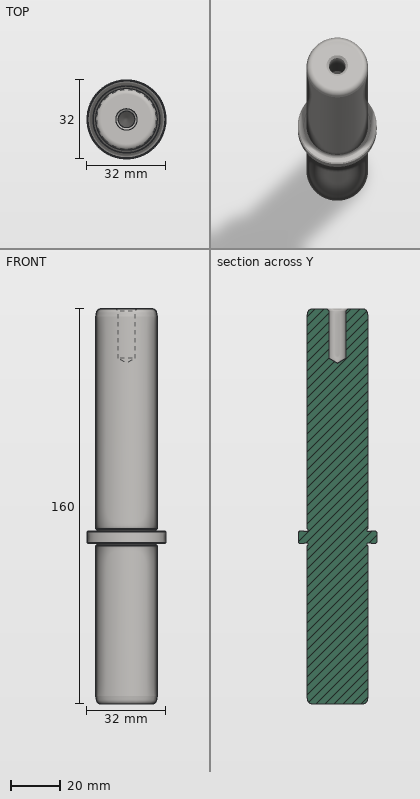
import cadquery as cq
import math

LENGTH = 160.0
SHAFT_RADIUS = 12.5
COLLAR_RADIUS = 16.0
COLLAR_BOTTOM = 65.0
COLLAR_TOP = 70.0
COLLAR_CHAMFER = 0.5

END_RADIUS = 2.0
TAPER_START = 3.2
TAPER_ANGLE = math.radians(10)

RELIEF_HEIGHT = 1.0
RELIEF_SHAFT_DEPTH = 0.5
RELIEF_FACE_DEPTH = 0.2
RELIEF_OUTER_RADIUS = 13.6

HOLE_RADIUS = 3.4
HOLE_DEPTH = 20.0
HOLE_CHAMFER = 1.0
DRILL_TIP_ANGLE = math.radians(118)


def shaft_end(end_z, inward):
    """Half profile of one rounded end; inward is the Z direction from the end face into the shaft."""
    arc_height = END_RADIUS * (1 - math.sin(TAPER_ANGLE))
    arc_outer = SHAFT_RADIUS - (TAPER_START - arc_height) * math.tan(TAPER_ANGLE)
    arc_center = arc_outer - END_RADIUS * math.cos(TAPER_ANGLE)
    mid_angle = (math.pi / 2 + TAPER_ANGLE) / 2
    arc_middle = (
        arc_center + END_RADIUS * math.cos(mid_angle),
        end_z + inward * END_RADIUS * (1 - math.sin(mid_angle)),
    )
    return (
        cq.Workplane("XZ")
        .moveTo(0, end_z)
        .lineTo(arc_center, end_z)
        .threePointArc(arc_middle, (arc_outer, end_z + inward * arc_height))
        .lineTo(SHAFT_RADIUS, end_z + inward * TAPER_START)
        .lineTo(0, end_z + inward * TAPER_START)
        .close()
        .revolve(360, (0, 0), (0, 1))
    )


def make_shaft():
    """Plain cylinder between the two rounded ends."""
    middle = (
        cq.Workplane("XY")
        .workplane(offset=TAPER_START)
        .circle(SHAFT_RADIUS)
        .extrude(LENGTH - 2 * TAPER_START)
    )
    return middle.union(shaft_end(0, 1)).union(shaft_end(LENGTH, -1))


def make_collar():
    """Disc around the shaft with chamfered rims."""
    return (
        cq.Workplane("XY")
        .workplane(offset=COLLAR_BOTTOM)
        .circle(COLLAR_RADIUS)
        .extrude(COLLAR_TOP - COLLAR_BOTTOM)
        .edges()
        .chamfer(COLLAR_CHAMFER)
    )


def relief_cutter(face_z, outward):
    """Ring that undercuts the corner at one collar face; outward is the Z direction off that face."""
    root_radius = SHAFT_RADIUS - RELIEF_SHAFT_DEPTH
    floor_z = face_z - outward * RELIEF_FACE_DEPTH
    return (
        cq.Workplane("XZ")
        .moveTo(SHAFT_RADIUS, face_z + outward * RELIEF_HEIGHT)
        .lineTo(root_radius, face_z + outward * (RELIEF_HEIGHT - RELIEF_SHAFT_DEPTH))
        .lineTo(root_radius, floor_z)
        .lineTo(RELIEF_OUTER_RADIUS - RELIEF_FACE_DEPTH, floor_z)
        .lineTo(RELIEF_OUTER_RADIUS, face_z)
        .close()
        .revolve(360, (0, 0), (0, 1))
    )


def hole_cutter():
    """Countersunk blind hole with a conical drill tip."""
    tip_depth = HOLE_RADIUS / math.tan(DRILL_TIP_ANGLE / 2)
    floor_z = LENGTH - HOLE_DEPTH
    return (
        cq.Workplane("XZ")
        .moveTo(0, LENGTH)
        .lineTo(HOLE_RADIUS + HOLE_CHAMFER, LENGTH)
        .lineTo(HOLE_RADIUS, LENGTH - HOLE_CHAMFER)
        .lineTo(HOLE_RADIUS, floor_z)
        .lineTo(0, floor_z - tip_depth)
        .close()
        .revolve(360, (0, 0), (0, 1))
    )


result = make_shaft().union(make_collar())
result = result.cut(relief_cutter(COLLAR_TOP, 1)).cut(relief_cutter(COLLAR_BOTTOM, -1))
result = result.cut(hole_cutter())